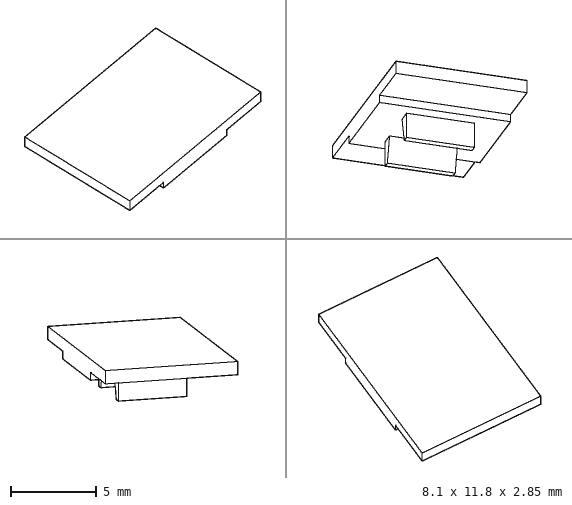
import cadquery as cq

plate_width = 8.1
plate_length = 11.8
plate_thickness = 0.8

pad_length = 5.71
pad_thickness = 0.47

total_height = 2.85
leg_width = 4.19
leg_outer_span = 4.01
leg_root_thickness = 0.85
leg_tip_thickness = 0.44

plate_bottom = total_height - plate_thickness
pad_bottom = plate_bottom - pad_thickness


def slab(length, thickness, bottom):
    """Full-width rectangular slab, centred in X and Y."""
    return (
        cq.Workplane("XY")
        .workplane(offset=bottom)
        .rect(plate_width, length)
        .extrude(thickness)
    )


def leg(side):
    """Leg with a vertical outer face and a sloping inner face; side is -1 or 1 along Y."""
    outer = leg_outer_span / 2
    profile = [
        (side * outer, 0),
        (side * outer, pad_bottom),
        (side * (outer - leg_root_thickness), pad_bottom),
        (side * (outer - leg_tip_thickness), 0),
    ]
    return cq.Workplane("YZ").polyline(profile).close().extrude(leg_width / 2, both=True)


plate = slab(plate_length, plate_thickness, plate_bottom)
pad = slab(pad_length, pad_thickness, pad_bottom)

result = plate.union(pad)
for side in (-1, 1):
    result = result.union(leg(side))